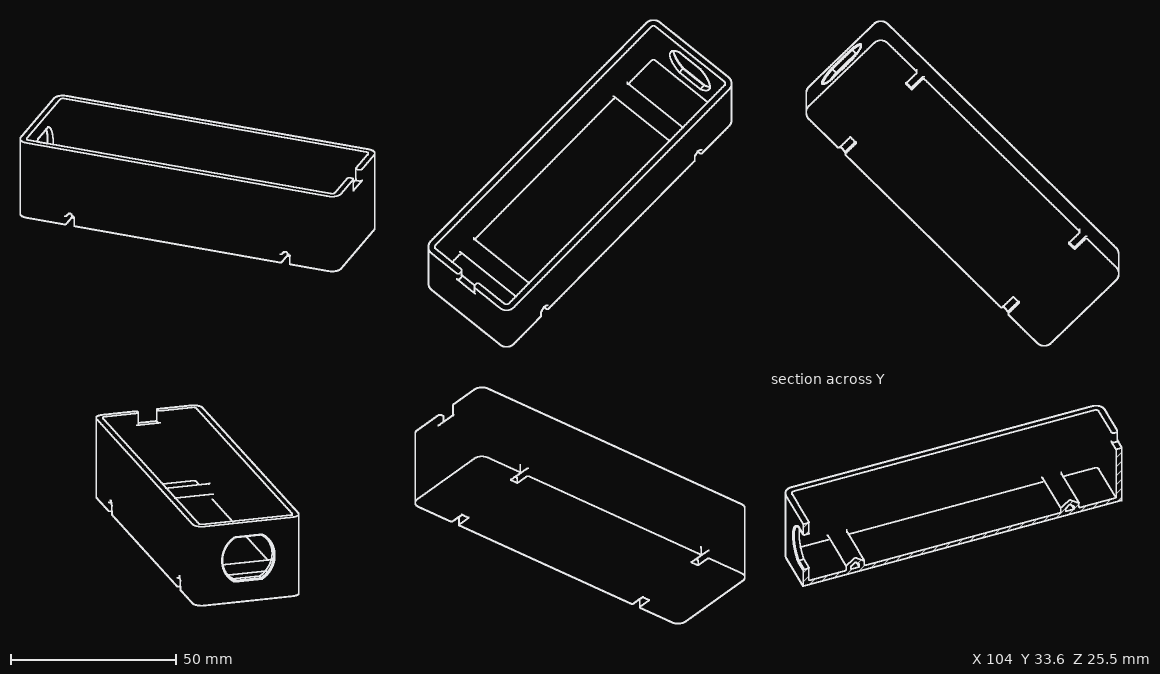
import cadquery as cq

LENGTH = 104.0
WIDTH = 33.6
HEIGHT = 25.5
WALL = 2.0
FLOOR = 1.9
CORNER_RADIUS = 2.9
INNER_CORNER_RADIUS = CORNER_RADIUS - WALL

TUNNEL_SPACING = 70.0
TUNNEL_WIDTH = 2.6
TUNNEL_EAVE = 2.8
TUNNEL_TOP = 4.1
TUNNEL_OPEN_DEPTH = 5.0
MOUTH_FILLET = 0.4
RIDGE_WIDTH = 6.0
RIDGE_EAVE = 3.7
RIDGE_TOP = 6.1
RIDGE_SEAM_FILLET = 0.3
PEAK_FILLET = 0.3

HOLE_DIAMETER = 16.2
HOLE_FLATS = 13.8
HOLE_HEIGHT = 13.8
HOLE_CHAMFER = 0.3

NOTCH_WIDTH = 6.0
NOTCH_DEPTH = 3.8
NOTCH_EDGE_FILLET = 0.7

SEARCH_MARGIN = 0.1

INNER_LENGTH = LENGTH - 2 * WALL
INNER_WIDTH = WIDTH - 2 * WALL


def pick_box(x_range, y_range, z_range):
    """Selector for the edges centred within the given ranges, widened by the search margin."""
    ranges = (x_range, y_range, z_range)
    low = [start - SEARCH_MARGIN for start, _ in ranges]
    high = [end + SEARCH_MARGIN for _, end in ranges]
    return cq.selectors.BoxSelector(low, high)


def gable_bar(x, width, eave, top, length):
    """Bar along Y with upright sides and two slopes meeting at a rounded peak."""
    half = width / 2
    outline = [
        (x - half, 0),
        (x + half, 0),
        (x + half, eave),
        (x, top),
        (x - half, eave),
    ]
    bar = cq.Workplane("XZ").polyline(outline).close().extrude(length / 2, both=True)
    return bar.edges("|Y and >Z").fillet(PEAK_FILLET)


def tray():
    """Open box with rounded upright corners inside and out."""
    outside = (
        cq.Workplane("XY")
        .box(LENGTH, WIDTH, HEIGHT, centered=(True, True, False))
        .edges("|Z")
        .fillet(CORNER_RADIUS)
    )
    inside = (
        cq.Workplane("XY", origin=(0, 0, FLOOR))
        .box(INNER_LENGTH, INNER_WIDTH, HEIGHT, centered=(True, True, False))
        .edges("|Z")
        .fillet(INNER_CORNER_RADIUS)
    )
    return outside.cut(inside)


def add_ridge(body, x):
    """Join a ridge to the floor, with fillets where it meets the floor and the side walls."""
    ridge = gable_bar(x, RIDGE_WIDTH, RIDGE_EAVE, RIDGE_TOP, INNER_WIDTH)
    x_range = (x - RIDGE_WIDTH / 2, x + RIDGE_WIDTH / 2)
    y_range = (-INNER_WIDTH / 2, INNER_WIDTH / 2)
    foot = pick_box(x_range, y_range, (FLOOR, FLOOR))
    whole_ridge = pick_box(x_range, y_range, (FLOOR, RIDGE_TOP))
    along_y = cq.selectors.ParallelDirSelector(cq.Vector(0, 1, 0))
    seams = foot + (whole_ridge - along_y)
    return body.union(ridge).edges(seams).fillet(RIDGE_SEAM_FILLET)


def cut_tunnel(body, x):
    """Cut a passage above the floor whose two ends open to the underside."""
    floor_bridge = cq.Workplane("XY").box(LENGTH, WIDTH - 2 * TUNNEL_OPEN_DEPTH, 2 * FLOOR)
    passage = gable_bar(x, TUNNEL_WIDTH, TUNNEL_EAVE, TUNNEL_TOP, WIDTH).cut(floor_bridge)
    body = body.cut(passage)
    x_range = (x - TUNNEL_WIDTH / 2, x + TUNNEL_WIDTH / 2)
    z_range = (2 * SEARCH_MARGIN, TUNNEL_TOP)
    for y in (-WIDTH / 2, WIDTH / 2):
        body = body.edges(pick_box(x_range, (y, y), z_range)).fillet(MOUTH_FILLET)
    return body


def cut_cable_hole(body):
    """Cut a round hole with two flats through the -X wall and chamfer its outer rim."""
    face_x = -LENGTH / 2
    radius = HOLE_DIAMETER / 2
    flats = cq.Workplane("XY").box(LENGTH, WIDTH, HOLE_FLATS).translate((0, 0, HOLE_HEIGHT))
    plug = (
        cq.Workplane("YZ", origin=(face_x, 0, HOLE_HEIGHT))
        .circle(radius)
        .extrude(WALL)
        .intersect(flats)
    )
    rim = pick_box((face_x, face_x), (-radius, radius), (HOLE_HEIGHT - radius, HOLE_HEIGHT + radius))
    return body.cut(plug).edges(rim).chamfer(HOLE_CHAMFER)


def cut_rim_notch(body):
    """Cut a notch in the middle of the +X rim and round its upright edges."""
    face_x = LENGTH / 2
    half = NOTCH_WIDTH / 2
    notch = cq.Workplane("XY").box(2 * WALL, NOTCH_WIDTH, 2 * NOTCH_DEPTH)
    body = body.cut(notch.translate((face_x, 0, HEIGHT)))
    sides = pick_box((face_x - WALL, face_x), (-half, half), (HEIGHT - NOTCH_DEPTH, HEIGHT))
    return body.edges("|Z").edges(sides).fillet(NOTCH_EDGE_FILLET)


result = tray()
for tunnel_x in (-TUNNEL_SPACING / 2, TUNNEL_SPACING / 2):
    result = add_ridge(result, tunnel_x)
    result = cut_tunnel(result, tunnel_x)
result = cut_cable_hole(result)
result = cut_rim_notch(result)